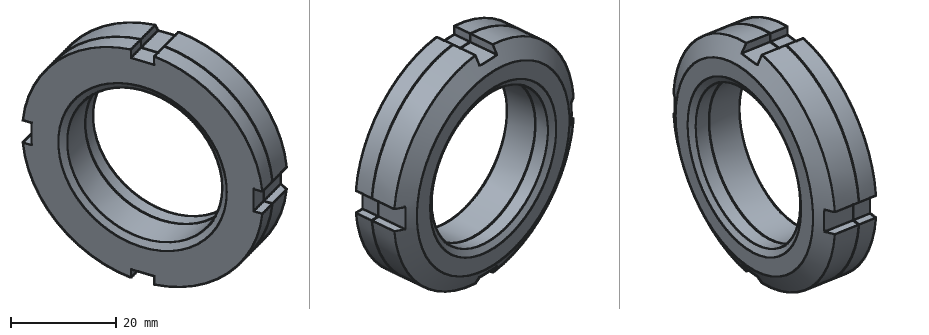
import cadquery as cq
import math

thickness = 12.0
flange_thickness = 4.0
collar_length = 4.0
joint_gap = 0.1
slot_width = 5.0
slot_depth = 2.0
slot_count = 4
span_across_slots = 51.75
bore_diameter = 33.5
bore_chamfer_width = 1.45
bevel_width = 4.0
slope_angle = 30.0

outer_radius = math.hypot(span_across_slots / 2, slot_width / 2)
slot_floor_radius = outer_radius - slot_depth
bore_radius = bore_diameter / 2
chamfer_radius = bore_radius + bore_chamfer_width
collar_radius = (bore_radius + slot_floor_radius) / 2

slope = math.tan(math.radians(slope_angle))
bevel_depth = bevel_width * slope
bore_chamfer_depth = bore_chamfer_width * slope

front_y = -thickness / 2
rear_y = thickness / 2
flange_y = front_y + flange_thickness
collar_y = flange_y + collar_length
recess_mouth_y = flange_y + joint_gap
recess_floor_y = collar_y + joint_gap


def turned_ring(profile):
    """Revolve a closed (radius, y) profile about the Y axis."""
    return cq.Workplane("XY").polyline(profile).close().revolve(360, (0, 0, 0), (0, 1, 0))


def cut_spanner_slots(ring):
    """Cut evenly spaced spanner slots along the whole length of the rim."""
    cutter = cq.Workplane("XY").box(2 * slot_depth, thickness, slot_width)
    cutter = cutter.translate((outer_radius, 0, 0))
    for index in range(slot_count):
        angle = index * 360 / slot_count
        ring = ring.cut(cutter.rotate((0, 0, 0), (0, 1, 0), angle))
    return ring


def make_front_ring():
    """Flat-faced ring with a chamfered bore and a collar that enters the rear ring."""
    profile = [
        (chamfer_radius, front_y),
        (outer_radius, front_y),
        (outer_radius, flange_y),
        (collar_radius, flange_y),
        (collar_radius, collar_y),
        (bore_radius, collar_y),
        (bore_radius, front_y + bore_chamfer_depth),
    ]
    return cut_spanner_slots(turned_ring(profile))


def make_rear_ring():
    """Ring with a bevelled rear edge and a recess that takes the front ring's collar."""
    profile = [
        (collar_radius, recess_mouth_y),
        (outer_radius, recess_mouth_y),
        (outer_radius, rear_y - bevel_depth),
        (outer_radius - bevel_width, rear_y),
        (chamfer_radius, rear_y),
        (bore_radius, rear_y - bore_chamfer_depth),
        (bore_radius, recess_floor_y),
        (collar_radius, recess_floor_y),
    ]
    return cut_spanner_slots(turned_ring(profile))


front_ring = make_front_ring()
rear_ring = make_rear_ring()

result = cq.Compound.makeCompound([front_ring.val(), rear_ring.val()])